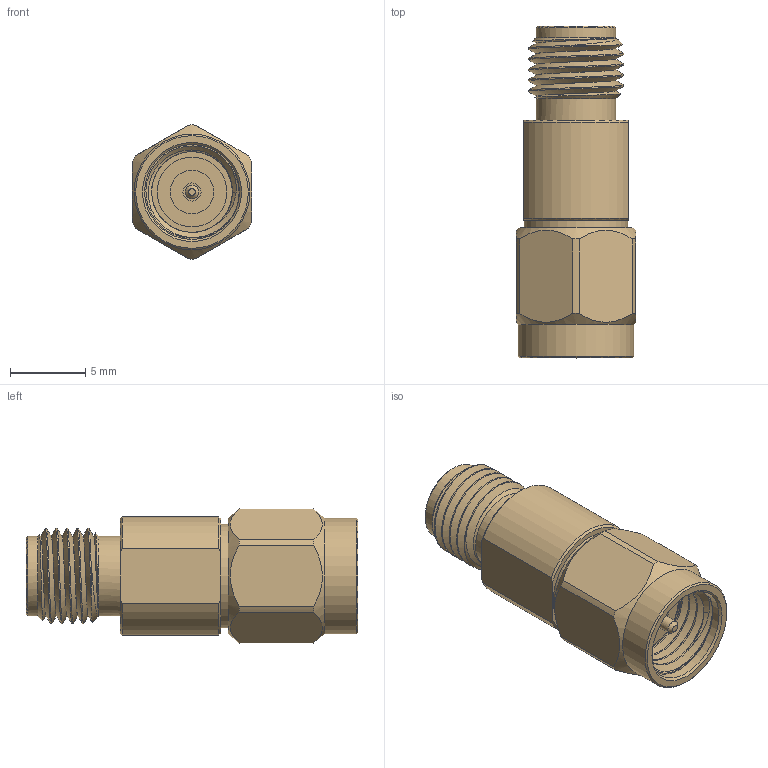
import cadquery as cq
import math


SLEEVE_END = 2.22
HEX_END = 8.65
NECK_END = 9.15
BODY_END = 15.83
THREAD_START = 17.26
THREAD_END = 21.32
TOTAL_LENGTH = 22.1

SLEEVE_RADIUS = 3.85
HEX_ACROSS_FLATS = 7.94
HEX_CORNER_RADIUS = 8.93 / 2
HEX_CHAMFER_ANGLE = 40.0
NECK_RADIUS = 3.46

BODY_RADIUS = 3.96
BODY_FLAT_OFFSET = 3.51
BODY_CHAMFER = 0.13

PITCH = 25.4 / 36
THREAD_MAJOR_RADIUS = 3.175
THREAD_CREST_WIDTH = 0.08
FLANK_SLOPE = math.tan(math.radians(30.0))
JACK_RADIUS = 2.66
JACK_CREST_PHASE = 20.25
EDGE_CHAMFER = 0.1

MOUTH_RADIUS = 3.3
COUNTERBORE_RADIUS = 3.16
COUNTERBORE_DEPTH = 0.73
LEAD_IN_RADIUS = 3.07
NUT_THREAD_MINOR_RADIUS = 2.69
NUT_THREAD_MAJOR_RADIUS = 3.14
NUT_GROOVE_PHASE = 0.0
NUT_THREAD_RELIEF = 0.1
FLOOR_DEPTH = 3.4

OUTER_CONDUCTOR_RADIUS = 2.32
OUTER_CONDUCTOR_STEP = 0.25
AIR_GAP_RADIUS = 1.455
AIR_GAP_DEPTH = 1.0
INNER_CONDUCTOR_RADIUS = 0.6
PIN_RADIUS = 0.45
PIN_TIP_RADIUS = 0.23
PIN_TIP_DEPTH = 1.13
PIN_TIP_LENGTH = 0.22

OVERLAP = 0.05
FOOT_OVERLAP = 0.015


def revolve_profile(points):
    """Revolve a closed outline of (radius, Y) points about the Y axis."""
    return cq.Workplane("XY").polyline(points).close().revolve(360, (0, 0, 0), (0, 1, 0))


def cylinder(radius, start, end):
    """Cylinder on the Y axis between two stations."""
    return revolve_profile([(0, start), (radius, start), (radius, end), (0, end)])


def chamfered_cylinder(radius, start, end, start_chamfer, end_chamfer):
    """Cylinder on the Y axis with a 45 degree chamfer at either end."""
    outline = [(0, start), (radius - start_chamfer, start)]
    if start_chamfer:
        outline.append((radius, start + start_chamfer))
    if end_chamfer:
        outline.append((radius, end - end_chamfer))
    outline += [(radius - end_chamfer, end), (0, end)]
    return revolve_profile(outline)


def helical_ridge(root_radius, crest_radius, start, end, phase):
    """Right-hand V ridge covering start to end; a crest crosses the +X side at the phase station."""
    first = phase + math.floor((start - phase) / PITCH - 1) * PITCH
    length = math.ceil((end - first) / PITCH + 1) * PITCH
    foot_radius = root_radius - FOOT_OVERLAP
    crest_half = THREAD_CREST_WIDTH / 2
    foot_half = crest_half + (crest_radius - foot_radius) * FLANK_SLOPE
    path = cq.Wire.makeHelix(PITCH, length, root_radius)
    ridge = (
        cq.Workplane("XZ")
        .polyline([
            (foot_radius, -foot_half),
            (crest_radius, -crest_half),
            (crest_radius, crest_half),
            (foot_radius, foot_half),
        ])
        .close()
        .sweep(cq.Workplane(obj=path), isFrenet=True)
    )
    return ridge.rotate((0, 0, 0), (1, 0, 0), -90).translate((0, first, 0))


def make_hex():
    """Nut hexagon with corners on +Z and -Z, turned to the corner radius and coned at both ends."""
    vertex_diameter = HEX_ACROSS_FLATS / math.cos(math.pi / 6)
    prism = (
        cq.Workplane("XZ", origin=(0, SLEEVE_END, 0))
        .transformed(rotate=(0, 0, 90))
        .polygon(6, vertex_diameter)
        .extrude(SLEEVE_END - HEX_END)
    )
    cone_length = (HEX_CORNER_RADIUS - SLEEVE_RADIUS) / math.tan(math.radians(HEX_CHAMFER_ANGLE))
    envelope = revolve_profile([
        (0, SLEEVE_END),
        (SLEEVE_RADIUS, SLEEVE_END),
        (HEX_CORNER_RADIUS, SLEEVE_END + cone_length),
        (HEX_CORNER_RADIUS, HEX_END - cone_length),
        (SLEEVE_RADIUS, HEX_END),
        (0, HEX_END),
    ])
    return prism.intersect(envelope)


def make_body():
    """Round body with a flat on each X side."""
    body = chamfered_cylinder(BODY_RADIUS, NECK_END, BODY_END, BODY_CHAMFER, BODY_CHAMFER)
    length = BODY_END - NECK_END
    slab = cq.Workplane("XY").box(2 * BODY_FLAT_OFFSET, length, 2 * BODY_RADIUS)
    return body.intersect(slab.translate((0, NECK_END + length / 2, 0)))


def make_jack_thread():
    """External thread ridge, coned off at 45 degrees at both ends."""
    ridge = helical_ridge(
        JACK_RADIUS, THREAD_MAJOR_RADIUS, THREAD_START, THREAD_END, JACK_CREST_PHASE
    )
    inner = JACK_RADIUS - OVERLAP
    outer = THREAD_MAJOR_RADIUS + OVERLAP
    cone = outer - inner
    cone_start = THREAD_START - OVERLAP
    cone_end = THREAD_END + OVERLAP
    envelope = revolve_profile([
        (0, cone_start),
        (inner, cone_start),
        (outer, cone_start + cone),
        (outer, cone_end - cone),
        (inner, cone_end),
        (0, cone_end),
    ])
    return ridge.intersect(envelope, clean=False)


def make_bore():
    """Plug cavity: chamfered mouth, counterbore, lead-in cone and thread bore."""
    lead_in_end = COUNTERBORE_DEPTH + LEAD_IN_RADIUS - NUT_THREAD_MINOR_RADIUS
    return revolve_profile([
        (0, 0),
        (MOUTH_RADIUS, 0),
        (COUNTERBORE_RADIUS, MOUTH_RADIUS - COUNTERBORE_RADIUS),
        (COUNTERBORE_RADIUS, COUNTERBORE_DEPTH),
        (LEAD_IN_RADIUS, COUNTERBORE_DEPTH),
        (NUT_THREAD_MINOR_RADIUS, lead_in_end),
        (NUT_THREAD_MINOR_RADIUS, FLOOR_DEPTH),
        (0, FLOOR_DEPTH),
    ])


def make_nut_groove():
    """Internal thread groove running from the counterbore to just short of the cavity floor."""
    start = COUNTERBORE_DEPTH / 2
    end = FLOOR_DEPTH - NUT_THREAD_RELIEF
    groove = helical_ridge(
        NUT_THREAD_MINOR_RADIUS, NUT_THREAD_MAJOR_RADIUS, start, end, NUT_GROOVE_PHASE
    )
    return groove.intersect(cylinder(SLEEVE_RADIUS, start, end), clean=False)


def make_outer_conductor():
    """Raised contact ring on the cavity floor."""
    face = FLOOR_DEPTH - OUTER_CONDUCTOR_STEP
    return cylinder(OUTER_CONDUCTOR_RADIUS, face, FLOOR_DEPTH + OVERLAP)


def make_air_gap():
    """Annular gap between the outer and inner conductors."""
    face = FLOOR_DEPTH - OUTER_CONDUCTOR_STEP
    bottom = face + AIR_GAP_DEPTH
    return cylinder(AIR_GAP_RADIUS, face, bottom).cut(cylinder(INNER_CONDUCTOR_RADIUS, face, bottom))


def make_pin():
    """Contact pin with a tapered tip."""
    return revolve_profile([
        (0, PIN_TIP_DEPTH),
        (PIN_TIP_RADIUS, PIN_TIP_DEPTH),
        (PIN_RADIUS, PIN_TIP_DEPTH + PIN_TIP_LENGTH),
        (PIN_RADIUS, FLOOR_DEPTH),
        (0, FLOOR_DEPTH),
    ])


def make_nut():
    """Coupling nut with its threaded bore."""
    nut = chamfered_cylinder(SLEEVE_RADIUS, 0, SLEEVE_END, EDGE_CHAMFER, 0)
    nut = nut.union(make_hex()).union(cylinder(NECK_RADIUS, HEX_END, NECK_END))
    cavity = make_bore().union(make_nut_groove(), clean=False)
    return nut.cut(cavity, clean=False)


def make_jack():
    """Jack barrel with its external thread."""
    jack = chamfered_cylinder(JACK_RADIUS, BODY_END, TOTAL_LENGTH, 0, EDGE_CHAMFER)
    return jack.union(make_jack_thread(), clean=False)


nut = make_nut().union(make_outer_conductor(), clean=False)
nut = nut.cut(make_air_gap(), clean=False).union(make_pin(), clean=False)

result = nut.union(make_body(), clean=False).union(make_jack(), clean=False)